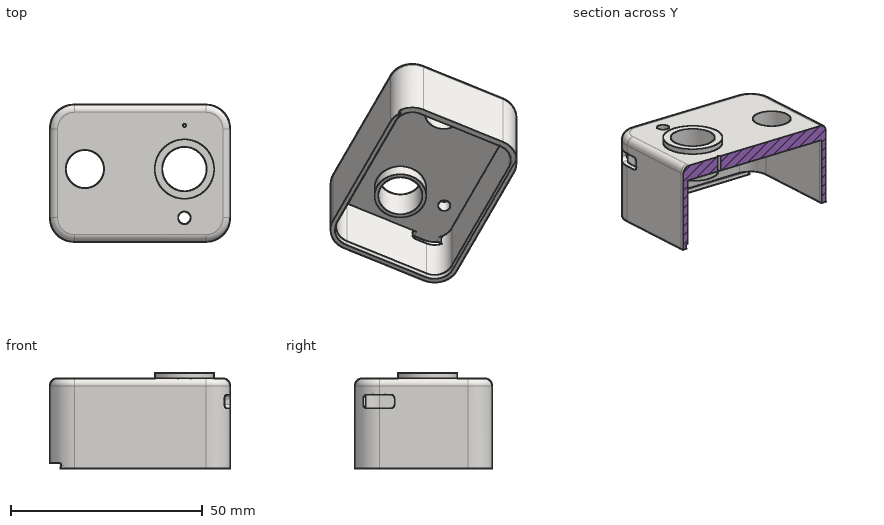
import cadquery as cq
import math

LENGTH = 47.15
WIDTH = 35.95
TOTAL_HEIGHT = 25.0
RING_HEIGHT = 1.4
BODY_HEIGHT = TOTAL_HEIGHT - RING_HEIGHT
CORNER_RADIUS = 6.4
RIM_RADIUS = 2.0

WALL = 1.5
ROOF_THICKNESS = 4.3
CEILING = BODY_HEIGHT - ROOF_THICKNESS

SLOT_HEIGHT = 1.4
SLOT_MARGIN = 1.0
SLOT_DRAFT = 12.0
SLOT_EDGE_RADIUS = 0.45

RING_X = 11.6
AXIS_Y = 1.1
RING_DIAMETER = 15.5
BORE_DIAMETER = 11.5
TUBE_DIAMETER = 13.5
TUBE_LENGTH = 3.75

ROOF_HOLES = [
    (9.9, -14.4, AXIS_Y),
    (3.2, RING_X, -11.65),
    (0.75, RING_X, 12.5),
]

PORT_WIDTH = 8.2
PORT_HEIGHT = 3.6
PORT_CENTRE_Y = -11.65
PORT_CORNER_RADIUS = 1.1


def rounded_block(length, width, height, corner_radius):
    """Upright block on Z = 0, centred on the Z axis, with rounded corners."""
    block = cq.Workplane("XY").box(length, width, height, centered=(True, True, False))
    return block.edges("|Z").fillet(corner_radius)


def cylinder(diameter, x, y, bottom, top):
    """Upright cylinder between two heights."""
    return (
        cq.Workplane("XY", origin=(x, y, bottom))
        .circle(diameter / 2)
        .extrude(top - bottom)
    )


def shell_body():
    """Outer body hollowed from below."""
    body = rounded_block(LENGTH, WIDTH, BODY_HEIGHT, CORNER_RADIUS)
    body = body.faces(">Z").edges().fillet(RIM_RADIUS)
    cavity = rounded_block(LENGTH - 2 * WALL, WIDTH - 2 * WALL, CEILING, CORNER_RADIUS - WALL)
    return body.cut(cavity)


def cover_slot():
    """Space of the sliding cover: rounded at the +X end, running out past -X."""
    draft = math.radians(SLOT_DRAFT)
    arc_centre_z = SLOT_HEIGHT - SLOT_EDGE_RADIUS
    bulge = SLOT_EDGE_RADIUS * (1 - 1 / math.cos(draft)) + arc_centre_z * math.tan(draft)
    inset = SLOT_MARGIN + bulge
    half_width = WIDTH / 2 - inset
    end_x = LENGTH / 2 - inset
    start_x = -LENGTH
    mouth = (
        cq.Sketch()
        .push([((start_x + end_x) / 2, 0)])
        .rect(end_x - start_x, 2 * half_width)
        .reset()
        .vertices(">X")
        .fillet(CORNER_RADIUS - inset)
    )
    slot = cq.Workplane("XY").placeSketch(mouth).extrude(SLOT_HEIGHT, taper=-SLOT_DRAFT)
    return slot.faces(">Z").edges().fillet(SLOT_EDGE_RADIUS)


def connector_port():
    """Rounded rectangular opening reaching from the cavity out through +X."""
    depth = 2 * WALL
    return (
        cq.Workplane("XY")
        .box(depth, PORT_WIDTH, PORT_HEIGHT)
        .edges("|X")
        .fillet(PORT_CORNER_RADIUS)
        .translate((LENGTH / 2 - WALL, PORT_CENTRE_Y, CEILING - PORT_HEIGHT / 2))
    )


result = shell_body().cut(cover_slot()).cut(connector_port())

tube_bottom = CEILING - TUBE_LENGTH
result = result.union(cylinder(RING_DIAMETER, RING_X, AXIS_Y, CEILING, TOTAL_HEIGHT))
result = result.union(cylinder(TUBE_DIAMETER, RING_X, AXIS_Y, tube_bottom, BODY_HEIGHT))
result = result.cut(cylinder(BORE_DIAMETER, RING_X, AXIS_Y, tube_bottom, TOTAL_HEIGHT))

for diameter, x, y in ROOF_HOLES:
    result = result.cut(cylinder(diameter, x, y, CEILING, BODY_HEIGHT))